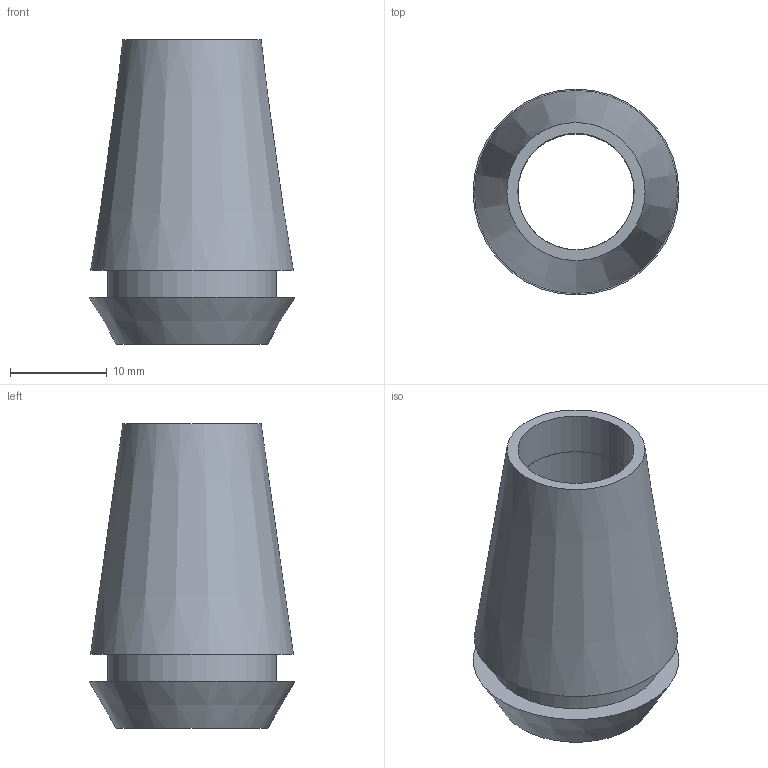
import cadquery as cq
import math

total_length = 31.5
bore_diameter = 12.0
mouth_diameter = 12.04
mouth_depth = 4.5

cone_base_diameter = 21.0
cone_half_angle = 8.0

groove_diameter = 17.45
groove_bottom = 4.85
groove_width = 2.8

flange_diameter = 21.3
flange_half_angle = 30.0


def taper_drop(length, half_angle):
    """Radius lost along a cone of the given length."""
    return length * math.tan(math.radians(half_angle))


groove_top = groove_bottom + groove_width
bore_radius = bore_diameter / 2
mouth_radius = mouth_diameter / 2
mouth_bottom = total_length - mouth_depth
groove_radius = groove_diameter / 2
cone_base_radius = cone_base_diameter / 2
cone_top_radius = cone_base_radius - taper_drop(total_length - groove_top, cone_half_angle)
flange_radius = flange_diameter / 2
flange_bottom_radius = flange_radius - taper_drop(groove_bottom, flange_half_angle)

half_section = [
    (bore_radius, 0),
    (flange_bottom_radius, 0),
    (flange_radius, groove_bottom),
    (groove_radius, groove_bottom),
    (groove_radius, groove_top),
    (cone_base_radius, groove_top),
    (cone_top_radius, total_length),
    (mouth_radius, total_length),
    (mouth_radius, mouth_bottom),
    (bore_radius, mouth_bottom),
]

result = (
    cq.Workplane("YZ")
    .polyline(half_section)
    .close()
    .revolve(360, (0, 0, 0), (0, 1, 0))
)